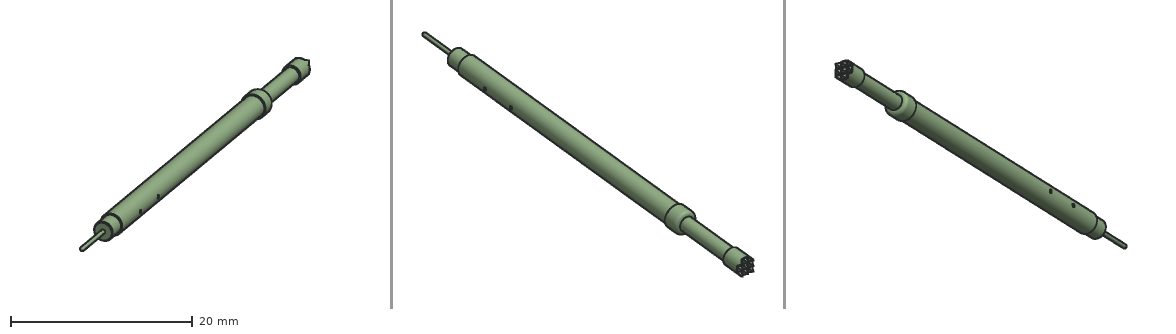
import cadquery as cq


head_diameter = 2.3
neck_diameter = 1.85
collar_diameter = 3.0
barrel_diameter = 2.65
tail_diameter = 2.3
wire_diameter = 0.5

total_length = 57.9
head_length = 3.0
neck_length = 8.0
collar_length = 1.95
barrel_length = 37.05
tail_length = 2.2

collar_fillet = 0.45
tail_chamfer = 0.1

tooth_count = 3
tooth_pitch = 0.75
tooth_width = 0.6
tooth_height = 0.65

dimple_diameter = 0.4
dimple_depth = 0.3
dimple_distances = (40.65, 45.3)

tip_y = total_length / 2
crown_y = tip_y - tooth_height
head_back_y = tip_y - head_length
neck_back_y = head_back_y - neck_length
collar_back_y = neck_back_y - collar_length
barrel_back_y = collar_back_y - barrel_length
tail_back_y = barrel_back_y - tail_length
wire_end_y = tip_y - total_length


def cylinder(diameter, front_y, length):
    """Solid rod on the Y axis reaching from front_y toward -Y."""
    return cq.Workplane("XZ", origin=(0, front_y, 0)).circle(diameter / 2).extrude(length)


def tooth_cutter():
    """Comb along Z: V-sided notches that leave narrow flats between and outside the teeth."""
    clear_x = head_diameter
    clear_y = tip_y + tooth_height
    profile = [(-clear_x, clear_y), (-clear_x, crown_y)]
    for i in range(tooth_count):
        tooth_x = (i - (tooth_count - 1) / 2) * tooth_pitch
        profile.append((tooth_x - tooth_width / 2, crown_y))
        profile.append((tooth_x, tip_y))
        profile.append((tooth_x + tooth_width / 2, crown_y))
    profile += [(clear_x, crown_y), (clear_x, clear_y)]
    return cq.Workplane("XY").polyline(profile).close().extrude(head_diameter, both=True)


def serrated_head():
    """Head whose tip is cut by the comb along Z and again along X, leaving pyramids."""
    cutter = tooth_cutter()
    crossed_cutter = cutter.rotate((0, 0, 0), (0, 1, 0), 90)
    return cylinder(head_diameter, tip_y, head_length).cut(cutter).cut(crossed_cutter)


def dimple(side, distance):
    """Blind round cutter entering the barrel from the +X (1) or -X (-1) side."""
    floor_x = side * (barrel_diameter / 2 - dimple_depth)
    plane = cq.Plane(origin=(floor_x, tip_y - distance, 0), xDir=(0, 1, 0), normal=(side, 0, 0))
    return cq.Workplane(plane).circle(dimple_diameter / 2).extrude(2 * dimple_depth)


def rounded_wire():
    """Round wire with a hemispherical end."""
    radius = wire_diameter / 2
    end_center_y = wire_end_y + radius
    end = cq.Workplane("XY", origin=(0, end_center_y, 0)).sphere(radius)
    return cylinder(wire_diameter, tail_back_y, tail_back_y - end_center_y).union(end)


neck = cylinder(neck_diameter, head_back_y, neck_length)
collar = cylinder(collar_diameter, neck_back_y, collar_length).faces(">Y").edges().fillet(collar_fillet)
barrel = cylinder(barrel_diameter, collar_back_y, barrel_length)
tail = cylinder(tail_diameter, barrel_back_y, tail_length).faces("<Y").edges().chamfer(tail_chamfer)
wire = rounded_wire()

for side in (-1, 1):
    for distance in dimple_distances:
        barrel = barrel.cut(dimple(side, distance))

result = serrated_head()
for section in (neck, collar, barrel, tail, wire):
    result = result.union(section)